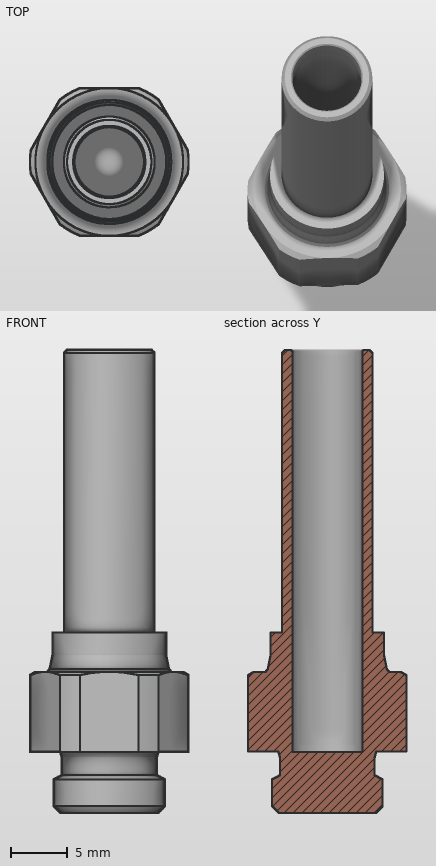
import cadquery as cq

total_height = 40.8
lower_chamfer = 0.6
collar_top = 2.98
neck_bottom = 3.35
neck_top = 4.95
nut_bottom = 5.4
nut_top = 12.45
root_top = 12.7
taper_top = 13.9
shoulder_top = 15.9

collar_radius = 4.9
neck_radius = 4.2
neck_flare_radius = 4.32
root_radius = 5.45
taper_radius = 5.25
shoulder_radius = 5.0
tube_radius = 4.0
tube_chamfer = 0.3
bore_radius = 3.05
bore_mouth_chamfer = 0.12

nut_across_flats = 13.0
nut_across_corners = 14.0
nut_corner_radius = nut_across_corners / 2
nut_turn_angle = 30
nut_top_chamfer_height = 0.3


def make_turned_body():
    """Collar, neck, shoulder and tube as one revolved profile."""
    profile = [
        (0, 0),
        (collar_radius - lower_chamfer, 0),
        (collar_radius, lower_chamfer),
        (collar_radius, collar_top),
        (neck_radius, neck_bottom),
        (neck_radius, neck_top),
        (neck_flare_radius, nut_bottom),
        (root_radius, nut_bottom),
        (root_radius, nut_top),
        (taper_radius, root_top),
        (shoulder_radius, taper_top),
        (shoulder_radius, shoulder_top),
        (tube_radius, shoulder_top),
        (tube_radius, total_height - tube_chamfer),
        (tube_radius - tube_chamfer, total_height),
        (0, total_height),
    ]
    return cq.Workplane("XZ").polyline(profile).close().revolve(360, (0, 0), (0, 1))


def make_nut():
    """Hexagon with corners along X, trimmed by a disc chamfered at its top."""
    height = nut_top - nut_bottom
    base = cq.Workplane("XY").workplane(offset=nut_bottom)
    hexagon = base.polygon(6, nut_across_flats, circumscribed=True).extrude(height)
    hexagon = hexagon.rotate((0, 0, 0), (0, 0, 1), nut_turn_angle)
    chamfer_width = nut_corner_radius - nut_across_flats / 2
    envelope = (
        base.circle(nut_corner_radius)
        .extrude(height)
        .faces(">Z")
        .edges()
        .chamfer(nut_top_chamfer_height, chamfer_width)
    )
    return hexagon.intersect(envelope)


def make_bore():
    """Blind bore with a chamfered mouth, from the tube end down to the underside of the nut."""
    bore_depth = total_height - nut_bottom
    bore = cq.Workplane("XY").workplane(offset=nut_bottom).circle(bore_radius).extrude(bore_depth)
    mouth_profile = [
        (0, total_height - bore_mouth_chamfer),
        (bore_radius, total_height - bore_mouth_chamfer),
        (bore_radius + bore_mouth_chamfer, total_height),
        (0, total_height),
    ]
    mouth = cq.Workplane("XZ").polyline(mouth_profile).close().revolve(360, (0, 0), (0, 1))
    return bore.union(mouth)


result = make_turned_body().union(make_nut()).cut(make_bore())